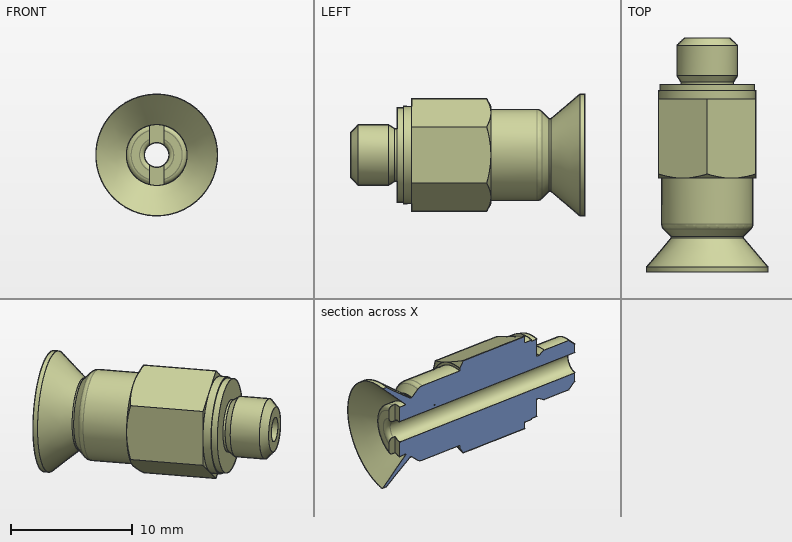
import cadquery as cq
import math

length = 19.2

rim_diameter = 10.0
rim_width = 0.4
neck_diameter = 5.95
neck_start = 2.78
neck_end = 2.92
cup_floor = 2.32

body_diameter = 7.5
body_round = 0.58
body_start = neck_end + (body_diameter - neck_diameter) / 2

hex_flats = 8.0
hex_start = 7.7
hex_end = 14.2
hex_corners = hex_flats / math.cos(math.pi / 6)
hex_chamfer_length = 0.35

collar_step = 14.88
collar_end = 15.4
seal_diameter = 7.8
groove_diameter = 4.34
groove_end = 15.6
thread_diameter = 5.0
thread_start = 16.1
tip_chamfer_length = 0.61
tip_chamfer_depth = 0.63

insert_diameter = 5.0
insert_face = 1.08
insert_round = 0.4
bore_diameter = 2.0
slot_width = 1.2
slot_depth = 0.63


def revolve(points):
    """Revolve a closed outline of (radius, Y) points about the Y axis."""
    return cq.Workplane("XY").polyline(points).close().revolve(360, (0, 0), (0, 1))


def cylinder(diameter, start, end):
    """Solid cylinder on the Y axis."""
    radius = diameter / 2
    return revolve([(0, start), (radius, start), (radius, end), (0, end)])


def make_cup():
    outside = revolve([
        (0, 0),
        (rim_diameter / 2, 0),
        (rim_diameter / 2, rim_width),
        (neck_diameter / 2, neck_start),
        (neck_diameter / 2, neck_end),
        (0, neck_end),
    ])
    inside = revolve([
        (0, 0),
        (rim_diameter / 2, 0),
        (insert_diameter / 2, cup_floor),
        (0, cup_floor),
    ])
    return outside.cut(inside)


def make_body():
    body = revolve([
        (0, neck_end),
        (neck_diameter / 2, neck_end),
        (body_diameter / 2, body_start),
        (body_diameter / 2, hex_start),
        (0, hex_start),
    ])
    edge_margin = 0.02
    shoulder = cq.selectors.BoxSelector(
        (-rim_diameter, body_start - edge_margin, -rim_diameter),
        (rim_diameter, body_start + edge_margin, rim_diameter),
    )
    return body.edges(shoulder).fillet(body_round)


def make_hexagon():
    prism = (
        cq.Workplane("XZ", origin=(0, hex_start, 0))
        .transformed(rotate=(0, 0, 90))
        .polygon(6, hex_corners)
        .extrude(hex_start - hex_end)
    )
    envelope = revolve([
        (0, hex_start),
        (hex_flats / 2, hex_start),
        (hex_corners / 2, hex_start + hex_chamfer_length),
        (hex_corners / 2, hex_end),
        (0, hex_end),
    ])
    return prism.intersect(envelope)


def make_stud():
    thread_radius = thread_diameter / 2
    return revolve([
        (0, collar_end),
        (groove_diameter / 2, collar_end),
        (groove_diameter / 2, groove_end),
        (thread_radius, thread_start),
        (thread_radius, length - tip_chamfer_length),
        (thread_radius - tip_chamfer_depth, length),
        (0, length),
    ])


def make_insert():
    insert = cylinder(insert_diameter, insert_face, neck_end)
    insert = insert.cut(cylinder(bore_diameter, insert_face, neck_end))
    insert = insert.faces("<Y").edges().fillet(insert_round)
    slot = cq.Workplane("XY").box(slot_width, slot_depth, insert_diameter)
    return insert.cut(slot.translate((0, insert_face + slot_depth / 2, 0)))


result = (
    make_cup()
    .union(make_body())
    .union(make_hexagon())
    .union(cylinder(hex_flats, hex_end, collar_step))
    .union(cylinder(seal_diameter, collar_step, collar_end))
    .union(make_stud())
    .cut(cylinder(bore_diameter, neck_end, length))
    .cut(cylinder(bore_diameter, cup_floor, neck_end))
    .union(make_insert())
)